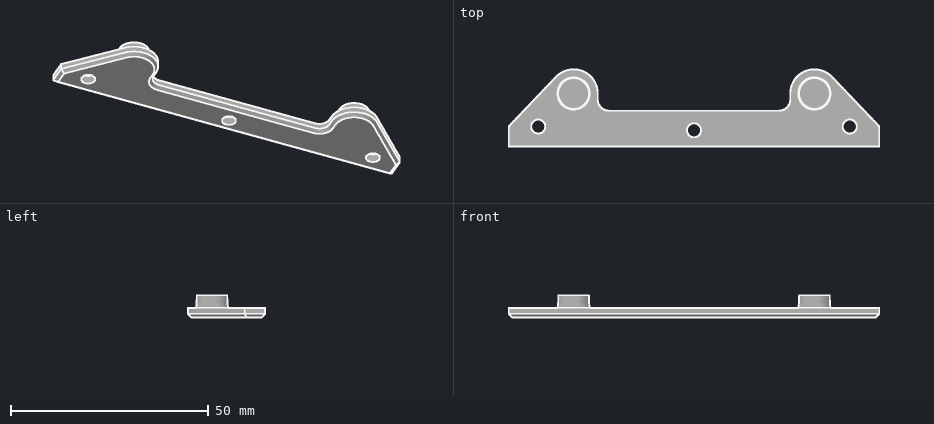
import cadquery as cq
import math

LENGTH = 93.87
DEPTH = 19.62
PLATE_THICKNESS = 2.5
BOTTOM_CHAMFER = 0.95
LOBE_RADIUS = 6.15
END_HEIGHT = 5.15
BAR_WIDTH = 9.15
INNER_FILLET = 2.75

BOSS_SPACING = 61.0
BOSS_BASE_RADIUS = 4.1
BOSS_BAND_RADIUS = 3.95
BOSS_TOP_RADIUS = 3.9
BAND_BOTTOM = 3.75
BAND_TOP = 4.3
TOTAL_HEIGHT = 5.71

HOLE_DIAMETER = 3.5
END_HOLE_SPACING = 78.9
END_HOLE_Y = 5.1
CENTRE_HOLE_Y = 4.15

half_length = LENGTH / 2
boss_x = BOSS_SPACING / 2
lobe_y = DEPTH - LOBE_RADIUS
inner_x = boss_x - LOBE_RADIUS


def lobe_point(angle):
    """Point on the rim of the right-hand lobe at an angle from +X, in radians."""
    return (boss_x + LOBE_RADIUS * math.cos(angle), lobe_y + LOBE_RADIUS * math.sin(angle))


def mirrored(point):
    """The same point on the other side of the YZ plane."""
    return (-point[0], point[1])


def make_plate():
    """Plate with a lobe near each end, chamfered all round its underside."""
    run = half_length - boss_x
    rise = lobe_y - END_HEIGHT
    slope = math.atan2(rise, run) + math.asin(LOBE_RADIUS / math.hypot(run, rise))
    tangent_angle = math.pi / 2 - slope
    tangent = lobe_point(tangent_angle)
    arc_middle = lobe_point((tangent_angle + math.pi) / 2)
    arc_end = (inner_x, lobe_y)
    plate = (
        cq.Workplane("XY")
        .moveTo(-half_length, 0)
        .lineTo(half_length, 0)
        .lineTo(half_length, END_HEIGHT)
        .lineTo(*tangent)
        .threePointArc(arc_middle, arc_end)
        .lineTo(inner_x, BAR_WIDTH)
        .lineTo(-inner_x, BAR_WIDTH)
        .lineTo(*mirrored(arc_end))
        .threePointArc(mirrored(arc_middle), mirrored(tangent))
        .lineTo(-half_length, END_HEIGHT)
        .close()
        .extrude(PLATE_THICKNESS)
    )
    for x in (-inner_x, inner_x):
        inner_corner = cq.selectors.NearestToPointSelector((x, BAR_WIDTH, PLATE_THICKNESS / 2))
        plate = plate.edges(inner_corner).fillet(INNER_FILLET)
    return plate.faces("<Z").chamfer(BOTTOM_CHAMFER)


def make_boss(x):
    """Boss tapering inward from its base to a narrow straight band, then slightly to the top."""
    boss = (
        cq.Workplane("XZ")
        .moveTo(0, PLATE_THICKNESS)
        .lineTo(BOSS_BASE_RADIUS, PLATE_THICKNESS)
        .lineTo(BOSS_BAND_RADIUS, BAND_BOTTOM)
        .lineTo(BOSS_BAND_RADIUS, BAND_TOP)
        .lineTo(BOSS_TOP_RADIUS, TOTAL_HEIGHT)
        .lineTo(0, TOTAL_HEIGHT)
        .close()
        .revolve(360, (0, 0), (0, 1))
    )
    return boss.translate((x, lobe_y, 0))


def make_holes():
    """Cutters for the two end holes and the centre hole."""
    centres = [
        (-END_HOLE_SPACING / 2, END_HOLE_Y),
        (0, CENTRE_HOLE_Y),
        (END_HOLE_SPACING / 2, END_HOLE_Y),
    ]
    return cq.Workplane("XY").pushPoints(centres).circle(HOLE_DIAMETER / 2).extrude(PLATE_THICKNESS)


result = make_plate()
for side in (-1, 1):
    result = result.union(make_boss(side * boss_x))
result = result.cut(make_holes())